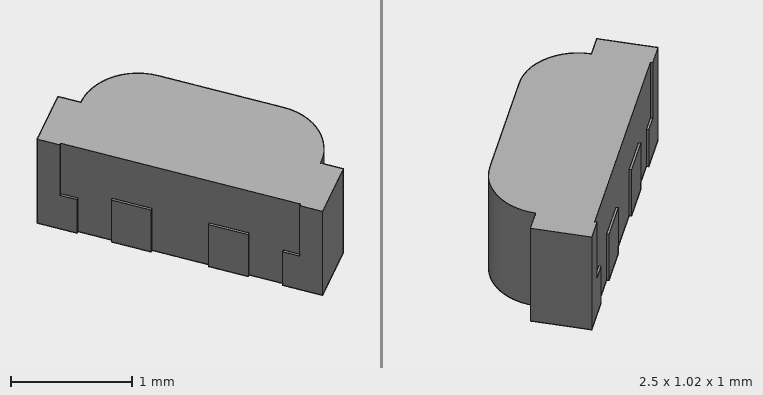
import cadquery as cq

length = 2.5
height = 1.0
body_depth = 0.5
lens_width = 2.1
lens_depth = 0.5
lens_corner_radius = 0.5

contact_thickness = 0.02
end_contact_height = 0.4
end_contact_width = 0.35
inner_contact_width = 0.35
inner_contact_height = 0.5
inner_contact_offset = 0.425


def block(x_start, x_end, y_start, y_end, z_top):
    """Box standing on the base plane, given by its limits."""
    return cq.Workplane("XY").box(
        x_end - x_start, y_end - y_start, z_top, centered=False
    ).translate((x_start, y_start, 0))


def make_body():
    return block(-length / 2, length / 2, 0, body_depth, height)


def make_lens():
    """Full-height lens with rounded outer corners."""
    lens = block(-lens_width / 2, lens_width / 2, 0, body_depth + lens_depth, height)
    return lens.edges("|Z and >Y").fillet(lens_corner_radius)


def make_end_contact():
    """L-shaped contact at the -X end: a full-height strip with a wider foot."""
    strip = block(-length / 2, -lens_width / 2, -contact_thickness, 0, height)
    foot_end = -length / 2 + end_contact_width
    foot = block(-length / 2, foot_end, -contact_thickness, 0, end_contact_height)
    return strip.union(foot)


def make_inner_contact():
    """Rectangular contact left of mid-length."""
    half_width = inner_contact_width / 2
    return block(
        -inner_contact_offset - half_width,
        -inner_contact_offset + half_width,
        -contact_thickness,
        0,
        inner_contact_height,
    )


result = make_body().union(make_lens())
for contact in (make_end_contact(), make_inner_contact()):
    result = result.union(contact).union(contact.mirror("YZ"))
result = result.clean()